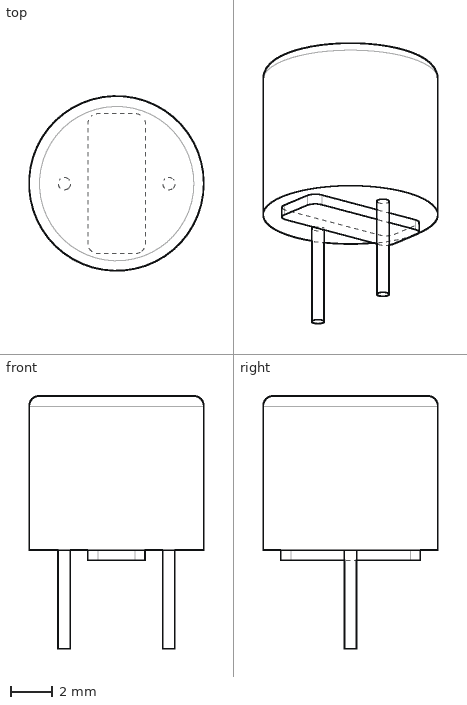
import cadquery as cq

body_diameter = 8.5
body_height = 7.5
top_fillet = 0.5

pad_width = 2.8
pad_length = 6.8
pad_height = 0.5
pad_corner_radius = 0.5

pin_diameter = 0.6
pin_pitch = 5.08
pin_length = 4.8


def make_body():
    """Can with a rounded top edge."""
    can = cq.Workplane("XY").circle(body_diameter / 2).extrude(body_height)
    return can.faces(">Z").edges().fillet(top_fillet)


def make_pad():
    """Rounded rectangular pad hanging from the bottom of the can."""
    block = cq.Workplane("XY").rect(pad_width, pad_length).extrude(-pad_height)
    return block.edges("|Z").fillet(pad_corner_radius)


def make_pins():
    """Pair of straight leads placed symmetrically about the can axis."""
    centers = [(-pin_pitch / 2, 0), (pin_pitch / 2, 0)]
    return cq.Workplane("XY").pushPoints(centers).circle(pin_diameter / 2).extrude(-pin_length)


result = make_body().union(make_pad()).union(make_pins())